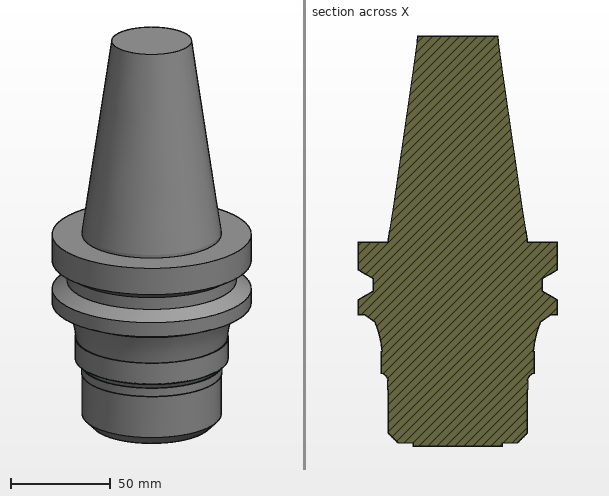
import cadquery as cq
import math


GAUGE_DIAMETER = 69.85
TAPER_LENGTH = 101.8
TAPER_RATIO = 7 / 24
TAPER_SMALL_DIAMETER = GAUGE_DIAMETER - TAPER_RATIO * TAPER_LENGTH

FLANGE_DIAMETER = 100
FLANGE_TOP_Z = -1.5
FLANGE_BOTTOM_Z = -38
GROOVE_DIAMETER = 85
GROOVE_CENTER_Z = -23
GROOVE_FLOOR_WIDTH = 6.3
GROOVE_WALL_ANGLE = 30
GROOVE_DEPTH = (FLANGE_DIAMETER - GROOVE_DIAMETER) / 2
GROOVE_WALL_HEIGHT = GROOVE_DEPTH * math.tan(math.radians(GROOVE_WALL_ANGLE))
GROOVE_FLOOR_TOP_Z = GROOVE_CENTER_Z + GROOVE_FLOOR_WIDTH / 2
GROOVE_FLOOR_BOTTOM_Z = GROOVE_CENTER_Z - GROOVE_FLOOR_WIDTH / 2

NECK_CONE_TOP_DIAMETER = 93.5
NECK_TOP_DIAMETER = 83.2
NECK_TOP_Z = -41.6
NECK_BOTTOM_DIAMETER = 76
NECK_BOTTOM_Z = -56.4
NECK_CURVE_RADIUS = 50

COLLAR_DIAMETER = 77
COLLAR_BOTTOM_Z = -67.5
COLLAR_CONE_TOP_DIAMETER = 75
COLLAR_CONE_BREAK_DIAMETER = 72
COLLAR_CONE_BREAK_Z = -68.7
COLLAR_CONE_BOTTOM_DIAMETER = 69.6

RING_DIAMETER = 70.7
RING_TOP_Z = -70.9
RING_BOTTOM_Z = -75.2

NOSE_DIAMETER = 70
NOSE_BOTTOM_Z = -102.3
NOSE_CHAMFER = 5
RING_CHAMFER = (RING_DIAMETER - NOSE_DIAMETER) / 2
BOSS_DIAMETER = 44.77
BOSS_BOTTOM_Z = -104


def add_steps(outline, steps):
    """Continue the half outline through (diameter, z) corners."""
    for diameter, z in steps:
        outline = outline.lineTo(diameter / 2, z)
    return outline


shank_and_flange = [
    (TAPER_SMALL_DIAMETER, TAPER_LENGTH),
    (GAUGE_DIAMETER, 0),
    (GAUGE_DIAMETER, FLANGE_TOP_Z),
    (FLANGE_DIAMETER, FLANGE_TOP_Z),
    (FLANGE_DIAMETER, GROOVE_FLOOR_TOP_Z + GROOVE_WALL_HEIGHT),
    (GROOVE_DIAMETER, GROOVE_FLOOR_TOP_Z),
    (GROOVE_DIAMETER, GROOVE_FLOOR_BOTTOM_Z),
    (FLANGE_DIAMETER, GROOVE_FLOOR_BOTTOM_Z - GROOVE_WALL_HEIGHT),
    (FLANGE_DIAMETER, FLANGE_BOTTOM_Z),
    (NECK_CONE_TOP_DIAMETER, FLANGE_BOTTOM_Z),
    (NECK_TOP_DIAMETER, NECK_TOP_Z),
]

collar_ring_and_nose = [
    (COLLAR_DIAMETER, NECK_BOTTOM_Z),
    (COLLAR_DIAMETER, COLLAR_BOTTOM_Z),
    (COLLAR_CONE_TOP_DIAMETER, COLLAR_BOTTOM_Z),
    (COLLAR_CONE_BREAK_DIAMETER, COLLAR_CONE_BREAK_Z),
    (COLLAR_CONE_BOTTOM_DIAMETER, RING_TOP_Z),
    (RING_DIAMETER, RING_TOP_Z),
    (RING_DIAMETER, RING_BOTTOM_Z),
    (NOSE_DIAMETER, RING_BOTTOM_Z - RING_CHAMFER),
    (NOSE_DIAMETER, NOSE_BOTTOM_Z + NOSE_CHAMFER),
    (NOSE_DIAMETER - 2 * NOSE_CHAMFER, NOSE_BOTTOM_Z),
    (BOSS_DIAMETER, NOSE_BOTTOM_Z),
    (BOSS_DIAMETER, BOSS_BOTTOM_Z),
    (0, BOSS_BOTTOM_Z),
]

outline = cq.Workplane("XZ").moveTo(0, TAPER_LENGTH)
outline = add_steps(outline, shank_and_flange)
outline = outline.radiusArc((NECK_BOTTOM_DIAMETER / 2, NECK_BOTTOM_Z), -NECK_CURVE_RADIUS)
outline = add_steps(outline, collar_ring_and_nose)

result = outline.close().revolve(axisStart=(0, 0, 0), axisEnd=(0, 1, 0))